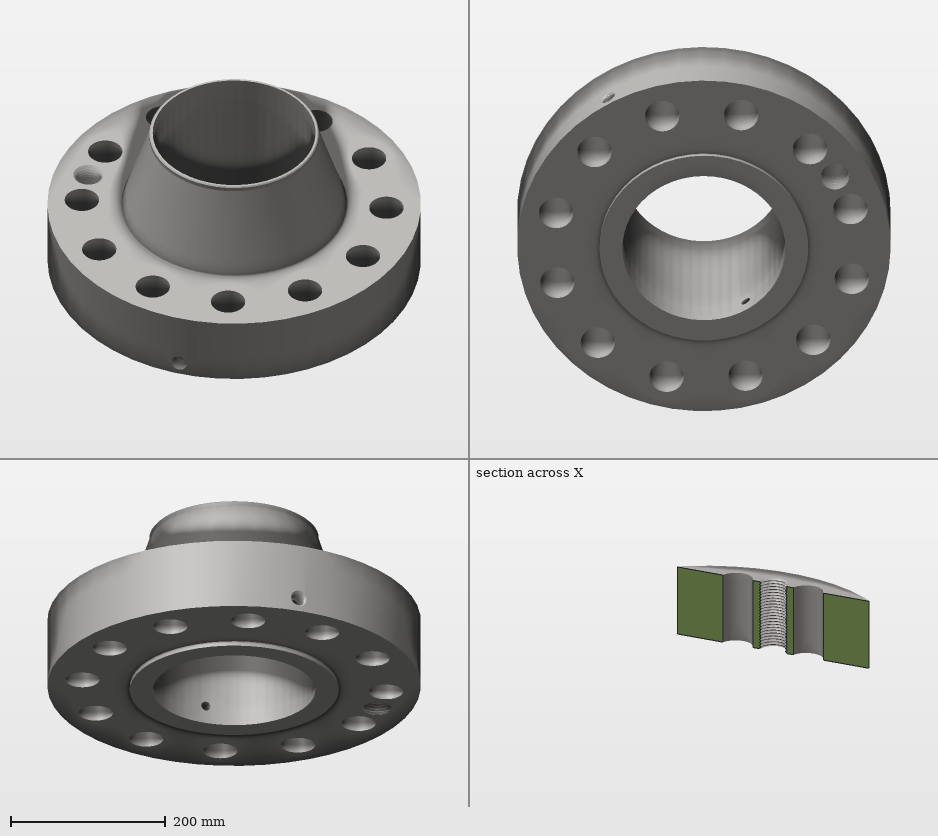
import cadquery as cq
import math

flange_diameter = 482.5
overall_height = 219.0
face_diameter = 270.0
face_height = 6.5
flange_thickness = 93.0

hub_diameter = 292.0
neck_diameter = 219.0
neck_straight = 6.8
bore_diameter = 210.5
weld_bevel = 1.5
hub_fillet = 3.0

bolt_count = 12
bolt_hole_diameter = 44.5
bolt_circle_diameter = 394.0

jack_minor_diameter = 34.7
jack_major_diameter = 39.5
jack_pitch = 4.0

tap_height = 24.0
tap_drill_diameter = 12.5
tap_minor_diameter = 19.0
tap_major_diameter = 21.5
tap_pitch = 1.85
tap_thread_turns = 11
tap_taper = 1 / 32

flange_top = face_height + flange_thickness
flange_radius = flange_diameter / 2
bolt_circle_radius = bolt_circle_diameter / 2


def flange_body():
    """Raised face, flange disc and conical neck as one revolved outline."""
    body = (
        cq.Workplane("XZ")
        .lineTo(face_diameter / 2, 0)
        .lineTo(face_diameter / 2, face_height)
        .lineTo(flange_radius, face_height)
        .lineTo(flange_radius, flange_top)
        .lineTo(hub_diameter / 2, flange_top)
        .lineTo(neck_diameter / 2, overall_height - neck_straight)
        .lineTo(neck_diameter / 2, overall_height)
        .lineTo(0, overall_height)
        .close()
        .revolve(360, (0, 0), (0, 1))
    )
    hub_root = cq.selectors.RadiusNthSelector(-2)
    body = body.edges(hub_root).fillet(hub_fillet)
    return body.faces(">Z").edges().chamfer(weld_bevel)


def bore():
    return cq.Workplane("XY").circle(bore_diameter / 2).extrude(overall_height)


def bolt_holes():
    half_step = 180 / bolt_count
    return (
        cq.Workplane("XY")
        .polarArray(bolt_circle_radius, half_step, 360, bolt_count)
        .circle(bolt_hole_diameter / 2)
        .extrude(flange_top)
    )


def thread_cutter(minor_radius, major_radius, pitch, turns, taper=0):
    """Ringed hole along +Z: V grooves one pitch apart, open at the mouth, narrowing by taper."""
    outline = cq.Workplane("XZ").lineTo(major_radius, 0)
    for turn in range(turns):
        crest = (turn + 0.5) * pitch
        groove = (turn + 1) * pitch
        outline = outline.lineTo(minor_radius - taper * crest, crest)
        outline = outline.lineTo(major_radius - taper * groove, groove)
    return outline.lineTo(0, turns * pitch).close().revolve(360, (0, 0), (0, 1))


def jack_screw_hole():
    turns = math.ceil(flange_thickness / jack_pitch)
    cutter = thread_cutter(jack_minor_diameter / 2, jack_major_diameter / 2, jack_pitch, turns)
    return cutter.rotate((0, 0, 0), (1, 0, 0), 180).translate((-bolt_circle_radius, 0, flange_top))


def pressure_tap():
    """Radial tap on the -Y side: tapered thread, then a drilled hole to the bore."""
    thread = thread_cutter(
        tap_minor_diameter / 2, tap_major_diameter / 2, tap_pitch, tap_thread_turns, tap_taper
    )
    drill = cq.Workplane("XY").circle(tap_drill_diameter / 2).extrude(flange_radius)
    return (
        thread.union(drill)
        .rotate((0, 0, 0), (1, 0, 0), -90)
        .translate((0, -flange_radius, tap_height))
    )


result = flange_body().cut(bore()).cut(bolt_holes()).cut(jack_screw_hole())
tap = pressure_tap()
result = result.cut(tap).cut(tap.mirror("XZ"))